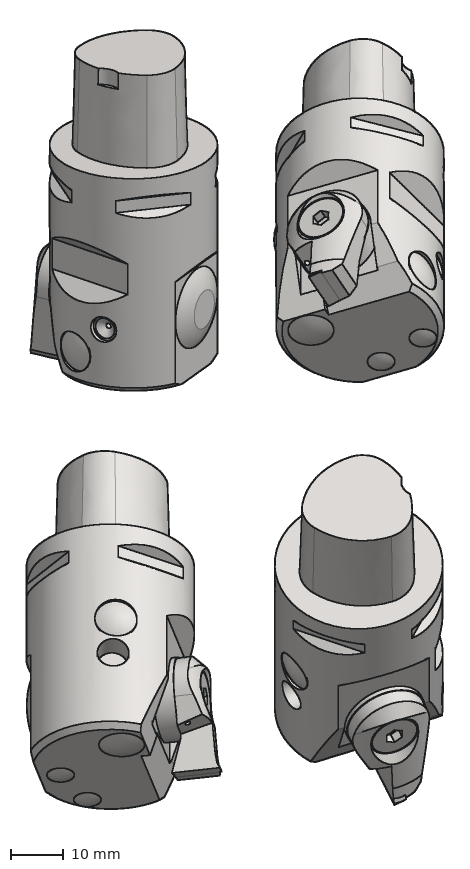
import cadquery as cq
import math

TOTAL_LENGTH = 67.0
REACH = 40.2

BODY_RADIUS = 16.0
BODY_BOTTOM = -44.8
BOTTOM_CHAMFER = 1.15

SHANK_HEIGHT = 19.15
SHANK_LOBE_RADIUS = 6.6
SHANK_LOBE_OFFSET = 5.0
SHANK_TAPER = 1 / 40
KEYWAY_RADIUS = 3.6
KEYWAY_DEPTH = 3.35
KEYWAY_FLOOR_Y = -9.0

GROOVE_COUNT = 4
GROOVE_START_ANGLE = 45.0
GROOVE_MIDDLE_Z = -6.0
GROOVE_FLOOR_HEIGHT = 2.5
GROOVE_FLOOR_DISTANCE = 14.2
GROOVE_FLANK_ANGLE = 31.0

FLAT_END_ANGLE = 45.0
FLAT_DISTANCE = 13.0
FLAT_TOP = -17.8
DRIVE_FLAT_ANGLE = -100.0
DRIVE_FLAT_BOTTOM = -24.2
DIAL_FLAT_DISTANCE = 13.8
DIAL_FLAT_TOP = -22.5

SLIDE_Z = -30.95
RELIEF_ANGLE = 18.0
FRONT_RELIEF_TOP = -39.45
FRONT_RELIEF_ANGLE = 32.7
FRONT_RELIEF_SIDE_Y = 3.55

SLIDE_DIAMETER = 16.0
SEAT_X = -9.85
SLIDE_FACE_X = -14.0
DIAL_DIAMETER = SLIDE_DIAMETER
DIAL_FACE_DIAMETER = 7.7
DIAL_HEIGHT = 1.7
DIAL_BULGE = 0.2

ARM_RADIUS = 7.85
ARM_CONE_X = -16.8
ARM_FRONT_TAPER = 12.0
ARM_BACK_TAPER = 26.0
ARM_BOTTOM = SHANK_HEIGHT - TOTAL_LENGTH
ARM_CROWN_RADIUS = 12.05
CROWN_TOP_X = -19.2
CROWN_TOP_Z = -25.5
CROWN_TILT = 4.5
FLARE_TOP_Z = -43.9
FLARE_TILT = 8.0
ARM_SIDE_BOTTOM_Z = -45.3
TIP_Y = -1.3
TIP_Z = -47.3
TIP_X = -21.5
TIP_ROOT_X = -20.9
TIP_TOP_Z = -46.35
TIP_EDGE_Z = -47.45
NOSE_Y = -3.3
NOSE_Z = -46.9
ARM_HEEL_Z = -40.3
ARM_HEEL_ANGLE = 13.0
RAKE_Y = 1.2
NOTCH_INNER_Z = -39.45
NOTCH_ANGLE = 16.0
COOLANT_DIAMETER = 1.0
COOLANT_DEPTH = 2.7
COOLANT_Y = 3.95
COOLANT_X = -15.95

SCREW_DIAMETER = 9.2
SCREW_FACE_X = -18.55
SCREW_LENGTH = 3.35
SCREW_CLEARANCE = 0.2
HEX_CORNER_DIAMETER = 3.6
HEX_DEPTH = 2.0

PLUG_DEPTH = 2.7
SIDE_PLUG_DIAMETER = 8.05
SIDE_PLUG_RIM = 15.35
FRONT_PLUG_ANGLE = 254.0
FRONT_PLUG_Z = -38.25
FRONT_PLUG_DOME = 0.8
BACK_PLUG_ANGLE = 106.0
BACK_PLUG_Z = -20.7
BACK_PLUG_DOME = 1.15
LARGE_BOTTOM_PLUG = (-4.0, 8.45)
LARGE_BOTTOM_DIAMETER = 8.7
LARGE_BOTTOM_DOME = 0.9
SMALL_BOTTOM_PLUGS = [(6.6, -10.2), (9.7, -0.15)]
SMALL_BOTTOM_DIAMETER = 5.2
SMALL_BOTTOM_DOME = 0.55

FUNNEL_X = 2.4
FUNNEL_Z = -31.95
FUNNEL_DIAMETER = 5.2
FUNNEL_STEP_Y = -15.15
FUNNEL_STEP_DIAMETER = 5.0
FUNNEL_CONE_DIAMETER = 4.15
FUNNEL_CONE_DEPTH = 1.35
FUNNEL_BORE_DIAMETER = 1.0
FUNNEL_BORE_DEPTH = 2.7
SIDE_HOLE_DIAMETER = 6.0
SIDE_HOLE_ANGLE = 104.0
SIDE_HOLE_Z = -28.4
SIDE_HOLE_FLOOR = 10.7


def tan(degrees):
    return math.tan(math.radians(degrees))


def box_between(x_range, y_range, z_range):
    size = [high - low for low, high in (x_range, y_range, z_range)]
    corner = (x_range[0], y_range[0], z_range[0])
    return cq.Workplane("XY").box(*size, centered=False).translate(corner)


def cylinder_x(diameter, x_start, x_end, z):
    """Cylinder along X at Y = 0."""
    return cq.Workplane("YZ", origin=(x_start, 0, z)).circle(diameter / 2).extrude(x_end - x_start)


def side_profile(points, y_start, y_end):
    """Prism along Y from an outline of (x, z) points."""
    return cq.Workplane("XZ", origin=(0, y_end, 0)).polyline(points).close().extrude(y_end - y_start)



def lobed_section(lobe_radius):
    """Rounded triangle of constant width with one lobe toward +Y, made of six tangent arcs."""
    def lobe_point(lobe_angle, normal_angle):
        lobe = math.radians(lobe_angle)
        normal = math.radians(normal_angle)
        x = SHANK_LOBE_OFFSET * math.cos(lobe) + lobe_radius * math.cos(normal)
        y = SHANK_LOBE_OFFSET * math.sin(lobe) + lobe_radius * math.sin(normal)
        return x, y

    flank_distance = lobe_radius + SHANK_LOBE_OFFSET * (math.sqrt(3) - 1)
    section = cq.Workplane("XY").moveTo(*lobe_point(90, 60))
    for lobe_angle in (90, 210, 330):
        flank = math.radians(lobe_angle + 60)
        flank_middle = (flank_distance * math.cos(flank), flank_distance * math.sin(flank))
        next_lobe = lobe_angle + 120
        section = section.threePointArc(
            lobe_point(lobe_angle, lobe_angle), lobe_point(lobe_angle, lobe_angle + 30)
        )
        section = section.threePointArc(flank_middle, lobe_point(next_lobe, next_lobe - 30))
    return section.wire().val()


def make_shank():
    base = lobed_section(SHANK_LOBE_RADIUS)
    top = lobed_section(SHANK_LOBE_RADIUS - SHANK_TAPER * SHANK_HEIGHT)
    top = top.translate(cq.Vector(0, 0, SHANK_HEIGHT))
    shank = cq.Workplane(cq.Solid.makeLoft([base, top], True))
    keyway = (
        cq.Workplane("XY", origin=(0, KEYWAY_FLOOR_Y - KEYWAY_RADIUS, SHANK_HEIGHT - KEYWAY_DEPTH))
        .circle(KEYWAY_RADIUS)
        .extrude(KEYWAY_DEPTH)
    )
    return shank.cut(keyway)


def flat_cut(distance, top, bottom, flank_angle, angle, open_bottom=False):
    """Cut outside a flat whose normal points at angle, with sloped ends."""
    outer = BODY_RADIUS + 0.7
    rise = (outer - distance) * tan(flank_angle)
    low_rise = 0 if open_bottom else rise
    points = [(distance, top), (outer, top + rise), (outer, bottom - low_rise), (distance, bottom)]
    return side_profile(points, -REACH / 2, REACH / 2).rotate((0, 0, 0), (0, 0, 1), angle)


def gripper_grooves():
    top = GROOVE_MIDDLE_Z + GROOVE_FLOOR_HEIGHT / 2
    bottom = GROOVE_MIDDLE_Z - GROOVE_FLOOR_HEIGHT / 2
    for index in range(GROOVE_COUNT):
        angle = GROOVE_START_ANGLE + index * 360 / GROOVE_COUNT
        yield flat_cut(GROOVE_FLOOR_DISTANCE, top, bottom, GROOVE_FLANK_ANGLE, angle)


def relief_cut(x, top, angle, y_start, y_end):
    """Cut on the -X side of a face that slopes inward from (x, top) down past the bottom."""
    low = BODY_BOTTOM - 0.7
    points = [(x, top), (x + (top - low) * tan(angle), low), (-REACH, low), (-REACH, top)]
    return side_profile(points, y_start, y_end)


def slide_seat_cut():
    """U-shaped pocket for the slide, open downward."""
    half_width = SLIDE_DIAMETER / 2
    round_top = cylinder_x(SLIDE_DIAMETER, SEAT_X - REACH, SEAT_X, SLIDE_Z)
    leg = box_between((SEAT_X - REACH, SEAT_X), (-half_width, half_width), (BODY_BOTTOM - 0.7, SLIDE_Z))
    return round_top.union(leg)


def funnel_cut():
    step = BODY_RADIUS + FUNNEL_STEP_Y
    cone_end = step + FUNNEL_CONE_DEPTH
    profile = [
        (0, 0),
        (FUNNEL_DIAMETER / 2, 0),
        (FUNNEL_STEP_DIAMETER / 2, step),
        (FUNNEL_CONE_DIAMETER / 2, step),
        (FUNNEL_BORE_DIAMETER / 2, cone_end),
        (FUNNEL_BORE_DIAMETER / 2, cone_end + FUNNEL_BORE_DEPTH),
        (0, cone_end + FUNNEL_BORE_DEPTH),
    ]
    funnel = cq.Workplane("XY").polyline(profile).close().revolve(360, (0, 0), (0, 1))
    return funnel.translate((FUNNEL_X, -BODY_RADIUS, FUNNEL_Z))


def side_hole_cut(diameter, floor, angle, z):
    """Hole toward the tool axis that ends at the floor distance."""
    hole = cylinder_x(diameter, floor, BODY_RADIUS + 0.7, z)
    return hole.rotate((0, 0, 0), (0, 0, 1), angle)


def make_housing():
    body = cq.Workplane("XY").circle(BODY_RADIUS).extrude(BODY_BOTTOM)
    body = body.faces("<Z").chamfer(BOTTOM_CHAMFER)
    for groove in gripper_grooves():
        body = body.cut(groove)
    body = body.cut(flat_cut(FLAT_DISTANCE, FLAT_TOP, DRIVE_FLAT_BOTTOM, FLAT_END_ANGLE, DRIVE_FLAT_ANGLE))
    for distance, top, angle in ((FLAT_DISTANCE, FLAT_TOP, 180), (DIAL_FLAT_DISTANCE, DIAL_FLAT_TOP, 0)):
        below = BODY_BOTTOM - 0.7
        body = body.cut(flat_cut(distance, top, below, FLAT_END_ANGLE, angle, open_bottom=True))

    body = body.cut(relief_cut(-FLAT_DISTANCE, SLIDE_Z, RELIEF_ANGLE, -REACH / 2, REACH / 2))
    front_relief_x = -FLAT_DISTANCE + (SLIDE_Z - FRONT_RELIEF_TOP) * tan(RELIEF_ANGLE)
    body = body.cut(
        relief_cut(front_relief_x, FRONT_RELIEF_TOP, FRONT_RELIEF_ANGLE, -REACH / 2, FRONT_RELIEF_SIDE_Y)
    )
    body = body.cut(slide_seat_cut())
    body = body.cut(funnel_cut())
    body = body.cut(side_hole_cut(SIDE_HOLE_DIAMETER, SIDE_HOLE_FLOOR, SIDE_HOLE_ANGLE, SIDE_HOLE_Z))

    plug_floor = SIDE_PLUG_RIM - PLUG_DEPTH
    body = body.cut(side_hole_cut(SIDE_PLUG_DIAMETER, plug_floor, FRONT_PLUG_ANGLE, FRONT_PLUG_Z))
    body = body.cut(side_hole_cut(SIDE_PLUG_DIAMETER, plug_floor, BACK_PLUG_ANGLE, BACK_PLUG_Z))
    bottom_plane = cq.Workplane("XY", origin=(0, 0, BODY_BOTTOM))
    body = body.cut(
        bottom_plane.pushPoints([LARGE_BOTTOM_PLUG]).circle(LARGE_BOTTOM_DIAMETER / 2).extrude(PLUG_DEPTH)
    )
    body = body.cut(
        bottom_plane.pushPoints(SMALL_BOTTOM_PLUGS).circle(SMALL_BOTTOM_DIAMETER / 2).extrude(PLUG_DEPTH)
    )
    return body.union(make_shank())



def make_slide():
    return cylinder_x(SLIDE_DIAMETER, SLIDE_FACE_X, SEAT_X, SLIDE_Z)


def make_dial():
    radius = DIAL_DIAMETER / 2
    face_radius = DIAL_FACE_DIAMETER / 2
    slant = math.hypot(radius - face_radius, DIAL_HEIGHT)
    rim_middle = (
        DIAL_HEIGHT / 2 + DIAL_BULGE * (radius - face_radius) / slant,
        (radius + face_radius) / 2 + DIAL_BULGE * DIAL_HEIGHT / slant,
    )
    dial = (
        cq.Workplane("XY")
        .lineTo(0, radius)
        .threePointArc(rim_middle, (DIAL_HEIGHT, face_radius))
        .lineTo(DIAL_HEIGHT, 0)
        .close()
        .revolve(360, (0, 0), (1, 0))
    )
    return dial.translate((DIAL_FLAT_DISTANCE, 0, SLIDE_Z))



def tangent_point(taper, side):
    """Point (y, z) where a side line with this taper leaves the round head."""
    angle = math.radians(taper)
    return side * ARM_RADIUS * math.cos(angle), SLIDE_Z - ARM_RADIUS * math.sin(angle)


def arm_outline():
    """Round head with tapered sides, along X."""
    front_y, front_z = tangent_point(ARM_FRONT_TAPER, -1)
    back_y, back_z = tangent_point(ARM_BACK_TAPER, 1)
    front_low_y = front_y + (front_z - ARM_SIDE_BOTTOM_Z) * tan(ARM_FRONT_TAPER)
    back_low_z = back_z - (back_y - RAKE_Y) / tan(ARM_BACK_TAPER)
    return (
        cq.Workplane("YZ", origin=(-REACH, 0, 0))
        .moveTo(front_y, front_z)
        .threePointArc((0, SLIDE_Z + ARM_RADIUS), (back_y, back_z))
        .lineTo(RAKE_Y, back_low_z)
        .lineTo(RAKE_Y, ARM_BOTTOM)
        .lineTo(TIP_Y, TIP_Z)
        .lineTo(NOSE_Y, NOSE_Z)
        .lineTo(front_low_y, ARM_SIDE_BOTTOM_Z)
        .close()
        .extrude(REACH)
    )


def crown(x, z, tilt):
    """Large cylinder whose outermost line passes through (x, z), tilted outward going down."""
    axis_x = x + ARM_CROWN_RADIUS
    barrel = cq.Workplane("XY", origin=(axis_x, 0, z - REACH)).circle(ARM_CROWN_RADIUS).extrude(2 * REACH)
    return barrel.rotate((x, 0, z), (x, 1, z), tilt)


def arm_envelope():
    """Crowned outer surface that flares near the cutting edge, behind it the flat back and heel."""
    flare_x = CROWN_TOP_X - (CROWN_TOP_Z - FLARE_TOP_Z) * tan(CROWN_TILT)
    half = REACH / 2
    upper = box_between((-REACH, SLIDE_FACE_X + REACH), (-half, half), (FLARE_TOP_Z, 0))
    lower = box_between((-REACH, SLIDE_FACE_X + REACH), (-half, half), (ARM_BOTTOM, FLARE_TOP_Z))
    upper = upper.intersect(crown(CROWN_TOP_X, CROWN_TOP_Z, CROWN_TILT))
    lower = lower.intersect(crown(flare_x, FLARE_TOP_Z, FLARE_TILT))
    heel_x = SLIDE_FACE_X + (ARM_HEEL_Z - ARM_BOTTOM) * tan(ARM_HEEL_ANGLE)
    side = [
        (-REACH, 0),
        (SLIDE_FACE_X, 0),
        (SLIDE_FACE_X, ARM_HEEL_Z),
        (heel_x, ARM_BOTTOM),
        (-REACH, ARM_BOTTOM),
    ]
    return upper.union(lower).intersect(side_profile(side, -half, half))


def head_cone_cut():
    """45 degree cone round the upper half of the head."""
    size = ARM_RADIUS
    profile = [
        (ARM_CONE_X, ARM_RADIUS),
        (ARM_CONE_X - size, ARM_RADIUS - size),
        (ARM_CONE_X - size, ARM_RADIUS + size),
        (ARM_CONE_X, ARM_RADIUS + size),
    ]
    ring = cq.Workplane("XY").polyline(profile).close().revolve(360, (0, 0), (1, 0))
    upper_half = box_between((-REACH, 0), (-REACH, REACH), (0, REACH))
    return ring.intersect(upper_half).translate((0, 0, SLIDE_Z))


def screw_recess():
    """Counterbore for the screw, opening into a 45 degree countersink."""
    radius = SCREW_DIAMETER / 2 + SCREW_CLEARANCE
    depth = ARM_RADIUS - radius
    profile = [
        (SCREW_FACE_X + SCREW_LENGTH, 0),
        (SCREW_FACE_X + SCREW_LENGTH, radius),
        (SCREW_FACE_X, radius),
        (SCREW_FACE_X - depth, radius + depth),
        (SCREW_FACE_X - depth, 0),
    ]
    recess = cq.Workplane("XY").polyline(profile).close().revolve(360, (0, 0), (1, 0))
    return recess.translate((0, 0, SLIDE_Z))


def chip_notch_cut():
    """Space behind the rake face, closed above by a sloped face with a coolant hole."""
    outer_x = SLIDE_FACE_X - REACH
    inner_x = SLIDE_FACE_X + REACH
    points = [
        (outer_x, NOTCH_INNER_Z + REACH * tan(NOTCH_ANGLE)),
        (inner_x, NOTCH_INNER_Z - REACH * tan(NOTCH_ANGLE)),
        (inner_x, ARM_BOTTOM - REACH),
        (outer_x, ARM_BOTTOM - REACH),
    ]
    notch = side_profile(points, RAKE_Y, REACH)
    coolant_z = NOTCH_INNER_Z + (SLIDE_FACE_X - COOLANT_X) * tan(NOTCH_ANGLE)
    coolant = (
        cq.Workplane("XY", origin=(COOLANT_X, COOLANT_Y, coolant_z))
        .circle(COOLANT_DIAMETER / 2)
        .extrude(COOLANT_DEPTH)
        .rotate((COOLANT_X, 0, coolant_z), (COOLANT_X, 1, coolant_z), NOTCH_ANGLE)
    )
    return notch.union(coolant)


def cutting_tip():
    """Small wedge that stands out of the flare beside the rake face."""
    points = [
        (SLIDE_FACE_X, TIP_TOP_Z),
        (TIP_ROOT_X, TIP_TOP_Z),
        (TIP_X, TIP_EDGE_Z),
        (TIP_X, ARM_BOTTOM),
        (SLIDE_FACE_X, ARM_BOTTOM),
    ]
    return side_profile(points, TIP_Y, RAKE_Y)


def make_arm():
    arm = arm_outline().intersect(arm_envelope().union(cutting_tip()))
    for cut in (head_cone_cut(), screw_recess(), chip_notch_cut()):
        arm = arm.cut(cut)
    return arm


def make_screw():
    screw = cylinder_x(SCREW_DIAMETER, SCREW_FACE_X, SCREW_FACE_X + SCREW_LENGTH, SLIDE_Z)
    socket = (
        cq.Workplane("YZ", origin=(SCREW_FACE_X, 0, SLIDE_Z))
        .transformed(rotate=(0, 0, 90))
        .polygon(6, HEX_CORNER_DIAMETER)
        .extrude(HEX_DEPTH)
    )
    return screw.cut(socket)



def domed_plug(diameter, dome):
    """Plug along Z with its rim at Z = 0 and a spherical dome above it."""
    radius = diameter / 2
    sphere_radius = (radius**2 + dome**2) / (2 * dome)
    middle_radius = radius / 2
    middle_height = dome - sphere_radius + math.sqrt(sphere_radius**2 - middle_radius**2)
    return (
        cq.Workplane("XZ")
        .moveTo(0, -PLUG_DEPTH)
        .lineTo(radius, -PLUG_DEPTH)
        .lineTo(radius, 0)
        .threePointArc((middle_radius, middle_height), (0, dome))
        .close()
        .revolve(360, (0, 0), (0, 1))
    )


def make_side_plug(dome, angle, z):
    plug = domed_plug(SIDE_PLUG_DIAMETER, dome).rotate((0, 0, 0), (0, 1, 0), 90)
    return plug.translate((SIDE_PLUG_RIM, 0, z)).rotate((0, 0, 0), (0, 0, 1), angle)


def make_bottom_plug(diameter, dome, place):
    plug = domed_plug(diameter, dome).rotate((0, 0, 0), (1, 0, 0), 180)
    return plug.translate((*place, BODY_BOTTOM))


housing = make_housing()
slide = make_slide()
dial = make_dial()
arm = make_arm()
screw = make_screw()
front_plug = make_side_plug(FRONT_PLUG_DOME, FRONT_PLUG_ANGLE, FRONT_PLUG_Z)
back_plug = make_side_plug(BACK_PLUG_DOME, BACK_PLUG_ANGLE, BACK_PLUG_Z)
large_bottom_plug = make_bottom_plug(LARGE_BOTTOM_DIAMETER, LARGE_BOTTOM_DOME, LARGE_BOTTOM_PLUG)
small_bottom_plugs = [
    make_bottom_plug(SMALL_BOTTOM_DIAMETER, SMALL_BOTTOM_DOME, place) for place in SMALL_BOTTOM_PLUGS
]

bodies = [housing, slide, dial, arm, screw, front_plug, back_plug, large_bottom_plug, *small_bottom_plugs]
result = cq.Compound.makeCompound([body.solids().val() for body in bodies])